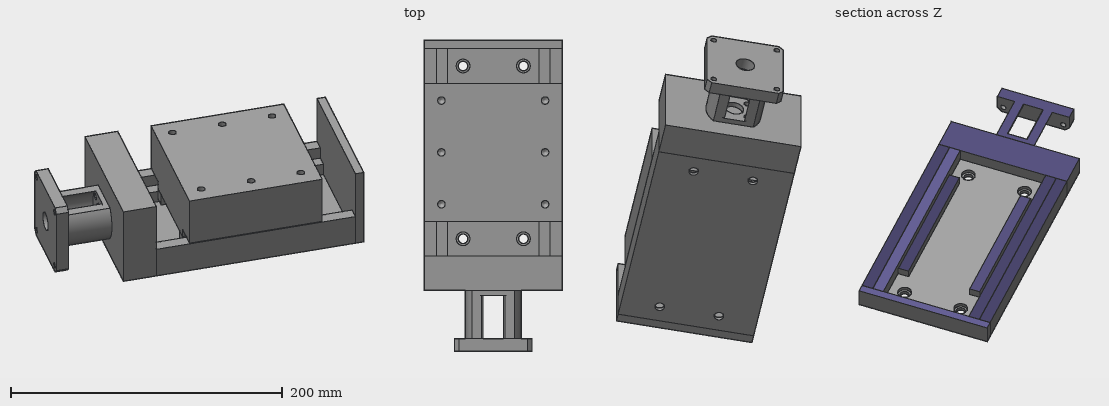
import cadquery as cq
import math


stage_width = 101.5
stage_height = 62.0
end_plate_thickness = 6.5
base_length = 152.5
housing_thickness = 25.2
bracket_length = 44.9

housing_y = bracket_length
base_y = housing_y + housing_thickness
end_plate_y = base_y + base_length
base_center_y = base_y + base_length / 2

base_height = 23.8
base_floor = 5.5
base_wall = 9.0
channel_width = stage_width - 2 * base_wall
base_hole_spacing_x = 44.5
base_hole_spacing_y = 127.0
base_hole_diameter = 6.9
counterbore_diameter = 10.0
counterbore_depth = 2.7

rail_width = 8.2
rail_height = 9.2
rail_gap = 1.4

carriage_length = 101.5
carriage_clearance = 0.7
tongue_depth = 6.5
carriage_bottom = base_height + carriage_clearance
tongue_bottom = carriage_bottom - tongue_depth
carriage_y = base_center_y - carriage_length / 2
tongue_width = channel_width - 2 * (rail_width + rail_gap)
mount_hole_spacing_x = 76.2
mount_hole_pitch_y = mount_hole_spacing_x / 2
mount_hole_diameter = 5.5
mount_hole_depth = 13.7
drill_point_angle = 118

flange_size = 57.2
flange_thickness = 9.4
flange_chamfer = 3.5
flange_hole_spacing = 47.4
flange_hole_diameter = 4.1
motor_axis_z = flange_size / 2
barrel_diameter = 41.2
barrel_bore_diameter = 32.0
barrel_top = 13.5
barrel_bottom = 14.2
barrel_end_wall = 4.0
shaft_hole_diameter = 13.7
wall_hole_x = 9.5
wall_hole_z = 7.8
wall_hole_diameter = 4.5


def block(width, y_start, length, z_start, height, x_center=0):
    """Box centred on x_center that starts at y_start and z_start."""
    box = cq.Workplane("XY").box(width, length, height, centered=(True, False, False))
    return box.translate((x_center, y_start, z_start))


def cylinder_along_y(diameter, y_start, length, x=0, z=motor_axis_z):
    """Cylinder running toward +Y from y_start."""
    plane = cq.Plane(origin=(x, y_start, z), xDir=(1, 0, 0), normal=(0, 1, 0))
    return cq.Workplane(plane).circle(diameter / 2).extrude(length)


def make_end_plate():
    return block(stage_width, end_plate_y, end_plate_thickness, 0, stage_height)


def make_housing():
    return block(stage_width, housing_y, housing_thickness, 0, stage_height)


def make_base_holes(diameter, z_start):
    """Four upright cylinders at the mounting holes, from z_start up to the channel floor."""
    holes = cq.Workplane("XY").rarray(base_hole_spacing_x, base_hole_spacing_y, 2, 2)
    holes = holes.circle(diameter / 2).extrude(base_floor - z_start)
    return holes.translate((0, base_center_y, z_start))


def make_base():
    """Channel with four counterbored mounting holes in its floor."""
    base = block(stage_width, base_y, base_length, 0, base_height)
    base = base.cut(block(channel_width, base_y, base_length, base_floor, base_height))
    base = base.cut(make_base_holes(base_hole_diameter, 0))
    return base.cut(make_base_holes(counterbore_diameter, base_floor - counterbore_depth))


def make_base_rail(side):
    """Rail on the channel floor, against the wall on the given side (-1 or 1)."""
    x_center = side * (channel_width - rail_width) / 2
    return block(rail_width, base_y, base_length, base_floor, rail_height, x_center)


def make_carriage_rail(side):
    """Rail under the carriage tongue, flush with its edge on the given side (-1 or 1)."""
    x_center = side * (tongue_width - rail_width) / 2
    return block(rail_width, carriage_y, carriage_length, tongue_bottom - rail_height, rail_height, x_center)


def make_drilled_hole():
    """Blind hole with a conical drill point, its mouth at the origin and pointing down."""
    radius = mount_hole_diameter / 2
    point_depth = radius / math.tan(math.radians(drill_point_angle / 2))
    profile = [
        (0, 0),
        (radius, 0),
        (radius, -mount_hole_depth),
        (0, -mount_hole_depth - point_depth),
    ]
    return cq.Workplane("XZ").polyline(profile).close().revolve(360, (0, 0), (0, 1))


def make_carriage():
    """Block with a tongue that reaches down into the base, and six mounting holes on top."""
    carriage = block(stage_width, carriage_y, carriage_length, carriage_bottom, stage_height - carriage_bottom)
    carriage = carriage.union(block(tongue_width, carriage_y, carriage_length, tongue_bottom, tongue_depth))
    drilled_hole = make_drilled_hole()
    for side in (-1, 1):
        for row in (-1, 0, 1):
            x = side * mount_hole_spacing_x / 2
            y = base_center_y + row * mount_hole_pitch_y
            carriage = carriage.cut(drilled_hole.translate((x, y, stage_height)))
    return carriage


def make_barrel():
    """Hollow cylinder with flats above and below that open its bore, closed by an end wall."""
    length = bracket_length - flange_thickness
    barrel = cylinder_along_y(barrel_diameter, flange_thickness, length)
    barrel = barrel.cut(cylinder_along_y(barrel_bore_diameter, flange_thickness, length - barrel_end_wall))
    height = barrel_top + barrel_bottom
    flats = block(barrel_diameter, flange_thickness, length, motor_axis_z - barrel_bottom, height)
    return barrel.intersect(flats)


def make_motor_bracket():
    """Square motor flange and barrel in one piece, bored for the shaft and screws."""
    flange = block(flange_size, 0, flange_thickness, 0, flange_size).edges("|Y").chamfer(flange_chamfer)
    bracket = flange.union(make_barrel())
    bracket = bracket.cut(cylinder_along_y(shaft_hole_diameter, 0, bracket_length))
    wall_y = bracket_length - barrel_end_wall
    for side_x in (-1, 1):
        for side_z in (-1, 1):
            flange_x = side_x * flange_hole_spacing / 2
            flange_z = motor_axis_z + side_z * flange_hole_spacing / 2
            bracket = bracket.cut(
                cylinder_along_y(flange_hole_diameter, 0, flange_thickness, flange_x, flange_z))
            wall_x = side_x * wall_hole_x
            wall_z = motor_axis_z + side_z * wall_hole_z
            bracket = bracket.cut(
                cylinder_along_y(wall_hole_diameter, wall_y, barrel_end_wall, wall_x, wall_z))
    return bracket


end_plate = make_end_plate()
housing = make_housing()
base = make_base()
carriage = make_carriage()
motor_bracket = make_motor_bracket()
base_rails = [make_base_rail(side).val() for side in (-1, 1)]
carriage_rails = [make_carriage_rail(side).val() for side in (-1, 1)]

result = cq.Compound.makeCompound([
    end_plate.val(),
    housing.val(),
    base.val(),
    carriage.val(),
    motor_bracket.val(),
    *base_rails,
    *carriage_rails,
])